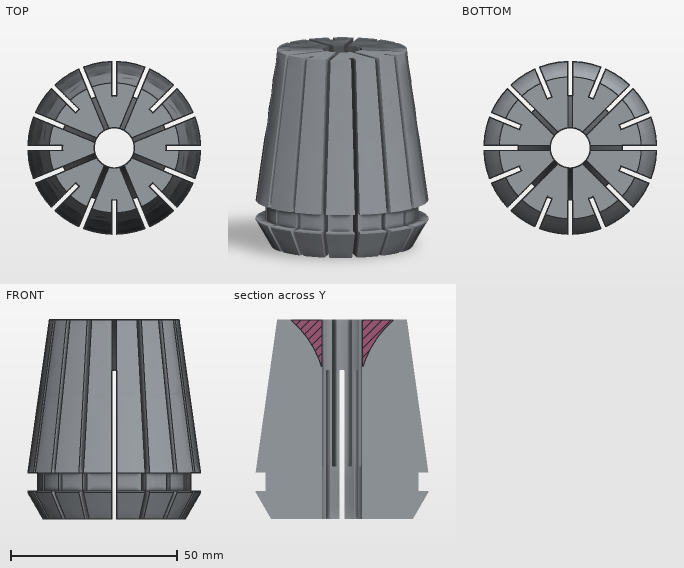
import cadquery as cq
import math

length = 60.0
max_radius = 26.0
bore_radius = 6.0
taper_angle = 8.0

nose_angle = 30.0
nose_height = 8.05
rim_height = 0.4
groove_width = 5.45
groove_radius = 23.05

slots_per_end = 8
slot_width = 1.5
saw_radius = 30.0
saw_center_radius = 35.0
upper_saw_z = 23.45
lower_saw_z = 37.0

groove_bottom_z = nose_height + rim_height
groove_top_z = groove_bottom_z + groove_width
top_radius = max_radius - (length - groove_top_z) * math.tan(math.radians(taper_angle))
nose_radius = max_radius - nose_height * math.tan(math.radians(nose_angle))
slot_pitch = 360.0 / slots_per_end


def make_body():
    """Revolve the half section between the bore and the outside."""
    return (
        cq.Workplane("XZ")
        .moveTo(bore_radius, 0)
        .lineTo(nose_radius, 0)
        .lineTo(max_radius, nose_height)
        .lineTo(max_radius, groove_bottom_z)
        .lineTo(groove_radius, groove_bottom_z)
        .lineTo(groove_radius, groove_top_z)
        .lineTo(max_radius, groove_top_z)
        .lineTo(top_radius, length)
        .lineTo(bore_radius, length)
        .close()
        .revolve(360, (0, 0), (0, 1))
    )


def make_saw_cut(center_z, open_end_z):
    """Slot on the +X side: a disc at its deepest position, plus its straight track to the open end."""
    disc = (
        cq.Workplane("XZ")
        .center(saw_center_radius, center_z)
        .circle(saw_radius)
        .extrude(slot_width / 2, both=True)
    )
    track = (
        cq.Workplane("XZ")
        .center(saw_center_radius, (center_z + open_end_z) / 2)
        .rect(2 * saw_radius, abs(open_end_z - center_z))
        .extrude(slot_width / 2, both=True)
    )
    return disc.union(track)


def cut_slots(body, saw_cut, first_angle):
    """Repeat one saw cut around the axis."""
    for i in range(slots_per_end):
        body = body.cut(saw_cut.rotate((0, 0, 0), (0, 0, 1), first_angle + i * slot_pitch))
    return body


result = make_body()
result = cut_slots(result, make_saw_cut(lower_saw_z, 0), 0)
result = cut_slots(result, make_saw_cut(upper_saw_z, length), slot_pitch / 2)